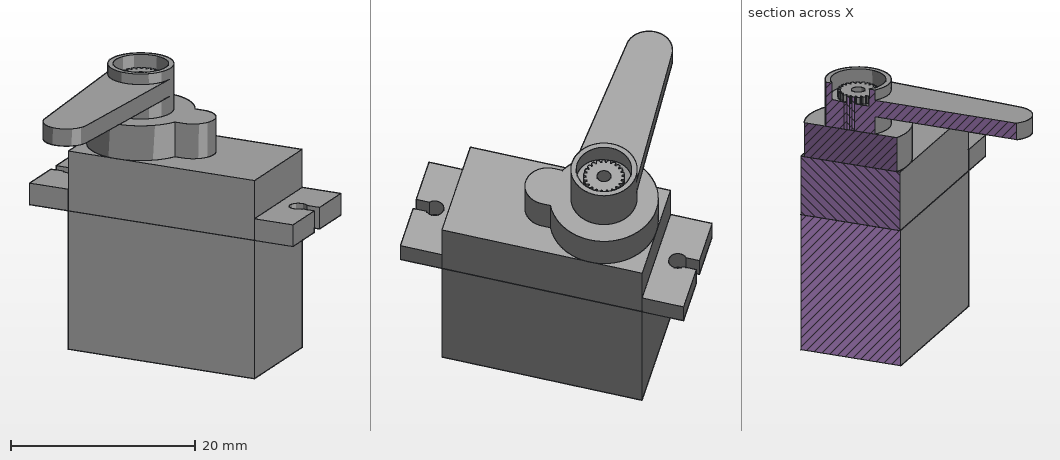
import cadquery as cq
import math

case_length = 22.55
lower_width = 11.85
upper_width = 11.75
lower_height = 15.9
upper_height = 6.85

overall_length = 31.9
ear_length = (overall_length - case_length) / 2
ear_thickness = 2.5
ear_hole_radius = 1.0
ear_hole_x = 13.7
ear_slot_width = 1.28

housing_radius = 5.9
housing_height = 4.0
lobe_radius = 2.5
lobe_x = 0.95
upper_top = lower_height + upper_height
housing_top = upper_top + housing_height

axis_x = housing_radius - case_length / 2
overall_height = 31.9
overall_width = 26.4
hub_radius = 7.2 / 2
arm_thickness = 1.98
arm_bottom = housing_top + arm_thickness
arm_top = arm_bottom + arm_thickness
tip_radius = 2.55
tip_offset = 0.2
tip_x = axis_x - tip_offset
tip_y = lower_width / 2 - overall_width + tip_radius

bore_radius = 6.03 / 2
bore_depth = 1.9
bore_floor = overall_height - bore_depth
cone_depth = 0.35
groove_turn = 7.0

shaft_length = arm_top - housing_top
tooth_count = 22
shaft_tip_radius = 2.23
shaft_root_radius = 1.95
notch_mouth_share = 0.5
notch_root_share = 0.2
screw_hole_radius = 1.5 / 2


def polar(radius, angle):
    return (radius * math.cos(angle), radius * math.sin(angle))


def make_lower_case():
    return cq.Workplane().box(case_length, lower_width, lower_height, centered=(True, True, False))


def make_ear_cut(side):
    """Screw hole and its open slot for the ear on one side, +1 or -1."""
    hole = cq.Workplane().center(side * ear_hole_x, 0).circle(ear_hole_radius).extrude(ear_thickness)
    slot = (
        cq.Workplane()
        .center(side * (ear_hole_x + ear_length / 2), 0)
        .rect(ear_length, ear_slot_width)
        .extrude(ear_thickness)
    )
    return hole.union(slot)


def make_upper_case():
    case = cq.Workplane().box(case_length, upper_width, upper_height, centered=(True, True, False))
    for side in (-1, 1):
        ear = (
            cq.Workplane()
            .center(side * (case_length + ear_length) / 2, 0)
            .rect(ear_length, lower_width)
            .extrude(ear_thickness)
        )
        case = case.union(ear.cut(make_ear_cut(side)))
    return case.translate((0, 0, lower_height))


def make_gear_housing():
    boss = cq.Workplane().center(axis_x, 0).circle(housing_radius).extrude(housing_height)
    lobe = cq.Workplane().center(lobe_x, 0).circle(lobe_radius).extrude(housing_height)
    bridge = (
        cq.Workplane()
        .center((axis_x + lobe_x) / 2, 0)
        .rect(lobe_x - axis_x, 2 * lobe_radius)
        .extrude(housing_height)
    )
    return boss.union(lobe).union(bridge).translate((0, 0, upper_top))


def make_spline():
    """Solid toothed bar as tall as the output shaft, standing on the housing."""
    pitch = 2 * math.pi / tooth_count
    half_mouth = notch_mouth_share * pitch / 2
    half_root = notch_root_share * pitch / 2
    outline = cq.Workplane().moveTo(*polar(shaft_tip_radius, half_mouth))
    for tooth in range(tooth_count):
        next_notch = (tooth + 1) * pitch
        outline = outline.lineTo(*polar(shaft_tip_radius, next_notch - half_mouth))
        outline = outline.lineTo(*polar(shaft_root_radius, next_notch - half_root))
        outline = outline.lineTo(*polar(shaft_root_radius, next_notch + half_root))
        if tooth < tooth_count - 1:
            outline = outline.lineTo(*polar(shaft_tip_radius, next_notch + half_mouth))
    return outline.close().extrude(shaft_length).translate((axis_x, 0, housing_top))


def make_output_shaft():
    screw_hole = cq.Workplane().circle(screw_hole_radius).extrude(shaft_length)
    return make_spline().cut(screw_hole.translate((axis_x, 0, housing_top)))


def make_arm():
    """Two round ends joined by their common outer tangents."""
    reach = math.hypot(tip_x - axis_x, tip_y)
    heading = math.atan2(tip_y, tip_x - axis_x)
    spread = math.acos((hub_radius - tip_radius) / reach)

    def on_hub(angle):
        x, y = polar(hub_radius, angle)
        return (axis_x + x, y)

    def on_tip(angle):
        x, y = polar(tip_radius, angle)
        return (tip_x + x, tip_y + y)

    return (
        cq.Workplane()
        .moveTo(*on_hub(heading - spread))
        .lineTo(*on_tip(heading - spread))
        .threePointArc(on_tip(heading), on_tip(heading + spread))
        .lineTo(*on_hub(heading + spread))
        .threePointArc(on_hub(heading + math.pi), on_hub(heading - spread))
        .close()
        .extrude(arm_thickness)
        .translate((0, 0, arm_bottom))
    )


def make_hub_recess():
    """Bore whose floor dips to the axis, half of it as a cone and half as a V groove towards the arm."""
    half_section = [(0, bore_depth), (bore_radius, bore_depth), (bore_radius, 0), (0, -cone_depth)]
    cone_half = cq.Workplane("XZ").polyline(half_section).close().revolve(180, (0, 0), (0, 1))
    full_section = half_section + [(-bore_radius, 0), (-bore_radius, bore_depth)]
    groove = cq.Workplane("XZ").polyline(full_section).close().extrude(bore_radius)
    bore = cq.Workplane().workplane(offset=-cone_depth).circle(bore_radius).extrude(bore_depth + cone_depth)
    recess = cone_half.union(groove.intersect(bore))
    return recess.rotate((0, 0, 0), (0, 0, 1), groove_turn).translate((axis_x, 0, bore_floor))


def make_horn():
    """Hub and arm in one piece, with the recess and a toothed hole that fits the output shaft."""
    hub = cq.Workplane().circle(hub_radius).extrude(overall_height - housing_top)
    hub = hub.translate((axis_x, 0, housing_top))
    return hub.union(make_arm()).cut(make_hub_recess()).cut(make_spline())


lower_case = make_lower_case()
upper_case = make_upper_case()
gear_housing = make_gear_housing()
output_shaft = make_output_shaft()
horn = make_horn()

bodies = [lower_case, upper_case, gear_housing, output_shaft, horn]
result = cq.Compound.makeCompound([body.solids().val() for body in bodies])